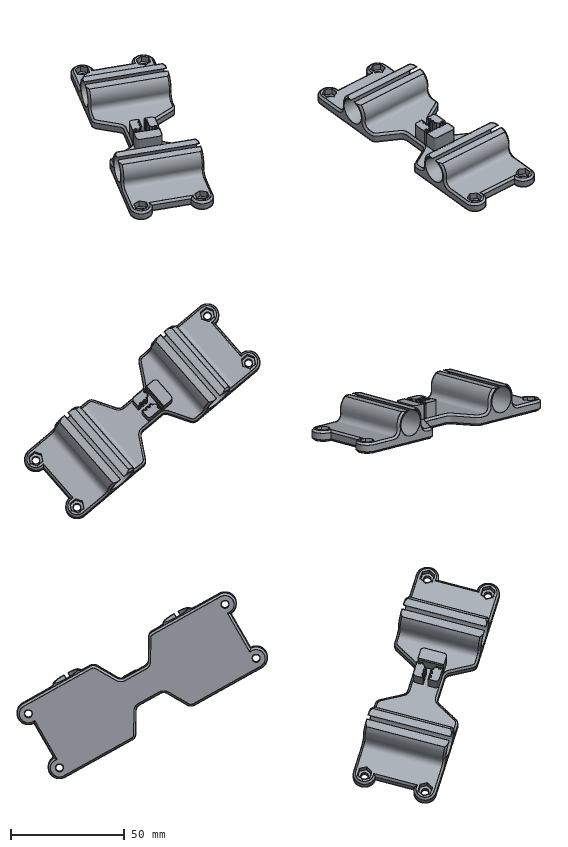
import cadquery as cq
import math

LENGTH = 110.0
WIDTH = 38.0
HEIGHT = 15.5

PLATE_THICKNESS = 5.0
EDGE_CHAMFER = 1.0
HOLE_SPACING_X = 100.0
HOLE_X = HOLE_SPACING_X / 2
LOBE_RADIUS = LENGTH / 2 - HOLE_X
HOLE_Y = WIDTH / 2 - LOBE_RADIUS
WAIST_WIDTH = 13.9
WAIST_HALF_LENGTH = 7.0
WAIST_SLOPE_ANGLE = 60.0
WAIST_FILLET = 3.0

SCREW_DIAMETER = 3.4
NUT_CORNER_DIAMETER = 6.5
NUT_POCKET_DEPTH = 3.0

ROD_SPACING = 56.0
ROD_X = ROD_SPACING / 2
BORE_RADIUS = 5.9
HOLDER_RADIUS = 7.5
HOLDER_FILLET = 3.0
SLOT_WIDTH = 2.0
ROD_Z = HEIGHT - math.sqrt(BORE_RADIUS**2 - (SLOT_WIDTH / 2) ** 2)

CLAMP_HEIGHT = 7.0
CLAMP_HALF_WIDTH = WAIST_WIDTH / 2 - EDGE_CHAMFER
CLAMP_FILLET = 1.5
CLAMP_CHAMFER = 0.5
JAW_LEFT = -1.2
JAW_RIGHT = 6.0
BELT_GAP = 1.0
STOP_LEFT = JAW_RIGHT + BELT_GAP
STOP_RIGHT = 13.0
JAW_INNER_Y = 1.1
TOOTH_PITCH = 2.0
TOOTH_GAP = 0.82
TOOTH_DEPTH = 1.0
FIRST_GAP_X = 0.1
OUTER_GAP_Y = 4.2
GAP_COUNT = 2
TURN_CORNER_WIDTH = 0.5


def lobe_centers(z):
    """Workplane at height z with a point at the centre of each corner lobe."""
    plane = cq.Workplane("XY", origin=(0, 0, z))
    return plane.rect(2 * HOLE_X, 2 * HOLE_Y, forConstruction=True).vertices()


def make_plate():
    """Two wide pads joined by a narrow waist, with a round lobe at each corner."""
    half_width = WIDTH / 2
    half_waist = WAIST_WIDTH / 2
    slope_run = (half_width - half_waist) / math.tan(math.radians(WAIST_SLOPE_ANGLE))
    shoulder_x = WAIST_HALF_LENGTH + slope_run
    quarter = [
        (HOLE_X, half_width),
        (shoulder_x, half_width),
        (WAIST_HALF_LENGTH, half_waist),
    ]
    upper = quarter + [(-x, y) for x, y in reversed(quarter)]
    outline = upper + [(x, -y) for x, y in reversed(upper)]
    plate = cq.Workplane("XY").polyline(outline).close().extrude(PLATE_THICKNESS)

    waist_zone = cq.selectors.BoxSelector((-ROD_X, -WIDTH, 0), (ROD_X, WIDTH, PLATE_THICKNESS))
    plate = plate.edges("|Z").edges(waist_zone).fillet(WAIST_FILLET)

    lobes = lobe_centers(0).circle(LOBE_RADIUS).extrude(PLATE_THICKNESS)
    return plate.union(lobes).faces("|Z").edges().chamfer(EDGE_CHAMFER)


def make_holder(x):
    """Full-width ridge around a rod, blended into the plate and chamfered at both ends."""
    blend_z = PLATE_THICKNESS + HOLDER_FILLET
    blend_reach = HOLDER_RADIUS + HOLDER_FILLET
    blend_x = math.sqrt(blend_reach**2 - (ROD_Z - blend_z) ** 2)
    touch_x = blend_x * HOLDER_RADIUS / blend_reach
    touch_z = ROD_Z + (blend_z - ROD_Z) * HOLDER_RADIUS / blend_reach
    blend_angle = math.atan2(ROD_Z - blend_z, -blend_x)
    middle_angle = (blend_angle + 1.5 * math.pi) / 2
    middle_x = blend_x + HOLDER_FILLET * math.cos(middle_angle)
    middle_z = blend_z + HOLDER_FILLET * math.sin(middle_angle)
    foot_z = PLATE_THICKNESS / 2

    ridge = (
        cq.Workplane("XZ", origin=(x, 0, 0))
        .moveTo(-blend_x, foot_z)
        .lineTo(-blend_x, PLATE_THICKNESS)
        .threePointArc((-middle_x, middle_z), (-touch_x, touch_z))
        .threePointArc((0, ROD_Z + HOLDER_RADIUS), (touch_x, touch_z))
        .threePointArc((middle_x, middle_z), (blend_x, PLATE_THICKNESS))
        .lineTo(blend_x, foot_z)
        .close()
        .extrude(WIDTH / 2, both=True)
    )
    return ridge.faces("|Y").edges("%CIRCLE").chamfer(EDGE_CHAMFER)


def make_bore(x):
    """Rod bore together with everything above the flat top of the holder."""
    bore = cq.Workplane("XZ", origin=(x, 0, ROD_Z)).circle(BORE_RADIUS).extrude(WIDTH, both=True)
    cap = cq.Workplane("XY", origin=(x, 0, HEIGHT)).rect(4 * HOLDER_RADIUS, 2 * WIDTH).extrude(HEIGHT)
    return bore.union(cap)


def make_block(x_min, x_max, y_min, y_max):
    """Clamp block standing on the plate."""
    return (
        cq.Workplane("XY", origin=(0, 0, PLATE_THICKNESS))
        .moveTo(x_min, y_min)
        .lineTo(x_max, y_min)
        .lineTo(x_max, y_max)
        .lineTo(x_min, y_max)
        .close()
        .extrude(CLAMP_HEIGHT)
    )


def make_stop():
    """Plain block that backs the belt where it turns outwards."""
    stop = make_block(STOP_LEFT, STOP_RIGHT, -CLAMP_HALF_WIDTH, CLAMP_HALF_WIDTH)
    stop = stop.edges("|Z and >X").fillet(CLAMP_FILLET)
    return stop.faces("<X").edges(">Z").chamfer(CLAMP_CHAMFER)


def make_jaw():
    """Toothed jaw on the +Y side, with teeth facing the middle and the stop."""
    jaw = make_block(JAW_LEFT, JAW_RIGHT, JAW_INNER_Y, CLAMP_HALF_WIDTH)
    jaw = jaw.edges("|Z and <X and >Y").fillet(CLAMP_FILLET)
    jaw = jaw.faces(">Z").edges("<Y or >X").chamfer(CLAMP_CHAMFER)

    root_y = JAW_INNER_Y + TOOTH_DEPTH
    root_x = JAW_RIGHT - TOOTH_DEPTH
    for index in range(GAP_COUNT):
        gap_x = FIRST_GAP_X + index * TOOTH_PITCH
        jaw = jaw.cut(make_block(gap_x, gap_x + TOOTH_GAP, 0, root_y))
    jaw = jaw.cut(make_block(root_x, STOP_LEFT, OUTER_GAP_Y, OUTER_GAP_Y + TOOTH_GAP))

    corner_x = FIRST_GAP_X + GAP_COUNT * TOOTH_PITCH
    corner_y = OUTER_GAP_Y + TOOTH_GAP - TOOTH_PITCH
    slope_x = corner_x + TURN_CORNER_WIDTH
    corner = (
        cq.Workplane("XY", origin=(0, 0, PLATE_THICKNESS))
        .polyline(
            [
                (corner_x, 0),
                (corner_x, root_y),
                (slope_x, root_y),
                (slope_x + corner_y - root_y, corner_y),
                (STOP_LEFT, corner_y),
                (STOP_LEFT, 0),
            ]
        )
        .close()
        .extrude(CLAMP_HEIGHT)
    )
    return jaw.cut(corner)


def make_screw_cutters():
    """Through holes and nut pockets at the four lobes."""
    pocket_z = PLATE_THICKNESS - NUT_POCKET_DEPTH
    holes = lobe_centers(0).circle(SCREW_DIAMETER / 2).extrude(PLATE_THICKNESS)
    pockets = lobe_centers(pocket_z).polygon(6, NUT_CORNER_DIAMETER).extrude(NUT_POCKET_DEPTH)
    return holes.union(pockets)


body = make_plate()
for rod_x in (-ROD_X, ROD_X):
    body = body.union(make_holder(rod_x)).cut(make_bore(rod_x))

jaw = make_jaw()
body = body.union(make_stop()).union(jaw).union(jaw.mirror("XZ"))

result = body.cut(make_screw_cutters())